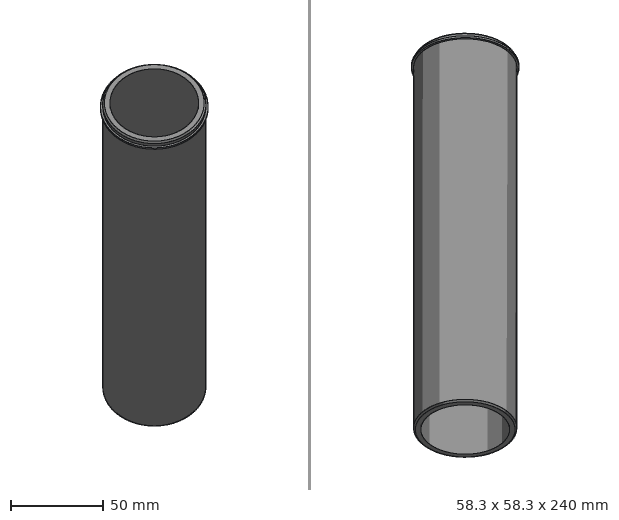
import cadquery as cq

tube_length = 240.0
tube_diameter = 56.0
bore_diameter = 48.0
end_chamfer = 1.0

ring_diameter = 58.3
ring_thickness = 1.2
ring_top_setback = 3.0


def make_tube():
    """Straight tube with both outer end edges chamfered."""
    rod = cq.Workplane("XY").circle(tube_diameter / 2).extrude(tube_length)
    rod = rod.faces("<Z or >Z").edges().chamfer(end_chamfer)
    bore = cq.Workplane("XY").circle(bore_diameter / 2).extrude(tube_length)
    return rod.cut(bore)


def make_ring():
    """Flat ring whose bore sits on the outside of the tube."""
    ring_bottom = tube_length - ring_top_setback - ring_thickness
    return (
        cq.Workplane("XY")
        .workplane(offset=ring_bottom)
        .circle(ring_diameter / 2)
        .circle(tube_diameter / 2)
        .extrude(ring_thickness)
    )


tube = make_tube()
ring = make_ring()

result = cq.Compound.makeCompound([tube.val(), ring.val()])